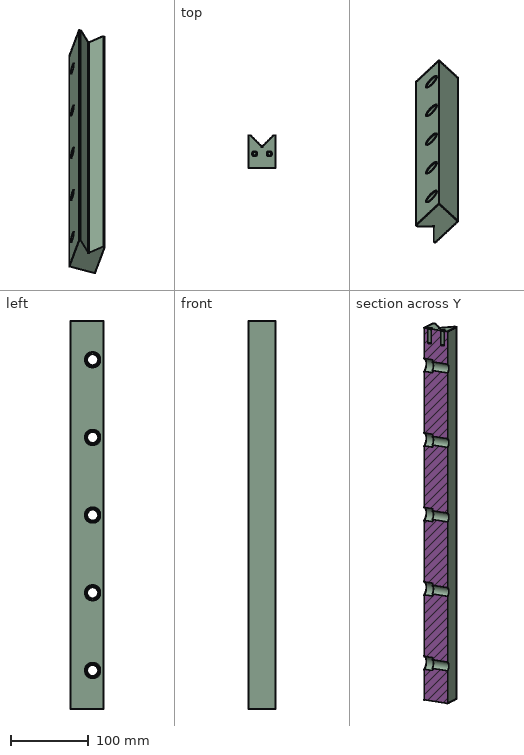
import cadquery as cq

WIDTH = 35.0
DEPTH = 42.5
LENGTH = 500.0
EDGE_CHAMFER = 0.5

GROOVE_WIDTH = 30.0
RELIEF_WIDTH = 1.5
RELIEF_DEPTH = 15.5

MOUNT_HOLE_COUNT = 5
MOUNT_HOLE_PITCH = LENGTH / MOUNT_HOLE_COUNT
MOUNT_HOLE_FROM_FRONT = 14.0
MOUNT_HOLE_DIAMETER = 14.0
COUNTERBORE_DIAMETER = 18.8
COUNTERBORE_DEPTH = 12.5
COUNTERBORE_CHAMFER = 0.7

END_HOLE_SPACING = 19.0
END_HOLE_FROM_FRONT = 18.5
END_HOLE_DIAMETER = 4.2
END_HOLE_MOUTH_DIAMETER = 7.0
END_HOLE_DEPTH = 20.0

RIGHTWARD = cq.Vector(1, 0, 0)
DOWNWARD = cq.Vector(0, 0, -1)


def chamfered_bar():
    """Bar centred on X, front face at Y = 0 and bottom at Z = 0, with every outer edge broken."""
    bar = cq.Workplane("XY").box(WIDTH, DEPTH, LENGTH, centered=(True, False, False))
    return bar.edges().chamfer(EDGE_CHAMFER)


def back_groove():
    """V groove whose walls stand at 45 degrees to the back face and stop at the relief slot."""
    half_mouth = GROOVE_WIDTH / 2
    half_relief = RELIEF_WIDTH / 2
    wall_end = DEPTH - (half_mouth - half_relief)
    relief_floor = DEPTH - RELIEF_DEPTH
    outline = [
        (-half_mouth, DEPTH),
        (-half_relief, wall_end),
        (-half_relief, relief_floor),
        (half_relief, relief_floor),
        (half_relief, wall_end),
        (half_mouth, DEPTH),
    ]
    return cq.Workplane("XY").polyline(outline).close().extrude(LENGTH)


def drilled_hole(diameter, depth, mouth_diameter, start, direction):
    """Cylindrical hole with a 45 degree chamfer at its mouth."""
    chamfer = (mouth_diameter - diameter) / 2
    bore = cq.Solid.makeCylinder(diameter / 2, depth, start, direction)
    mouth = cq.Solid.makeCone(mouth_diameter / 2, diameter / 2, chamfer, start, direction)
    return bore.fuse(mouth)


def mount_hole(height):
    """Through hole along X with a chamfered counterbore in the left face."""
    start = cq.Vector(-WIDTH / 2, MOUNT_HOLE_FROM_FRONT, height)
    through_hole = cq.Solid.makeCylinder(MOUNT_HOLE_DIAMETER / 2, WIDTH, start, RIGHTWARD)
    mouth_diameter = COUNTERBORE_DIAMETER + 2 * COUNTERBORE_CHAMFER
    counterbore = drilled_hole(COUNTERBORE_DIAMETER, COUNTERBORE_DEPTH, mouth_diameter, start, RIGHTWARD)
    return through_hole.fuse(counterbore)


def end_hole(side):
    """Blind hole in the top face, on the left (-1) or right (+1) of the centre plane."""
    start = cq.Vector(side * END_HOLE_SPACING / 2, END_HOLE_FROM_FRONT, LENGTH)
    return drilled_hole(END_HOLE_DIAMETER, END_HOLE_DEPTH, END_HOLE_MOUTH_DIAMETER, start, DOWNWARD)


result = chamfered_bar().cut(back_groove())

for index in range(MOUNT_HOLE_COUNT):
    result = result.cut(mount_hole(MOUNT_HOLE_PITCH * (index + 0.5)))

for side in (-1, 1):
    result = result.cut(end_hole(side))